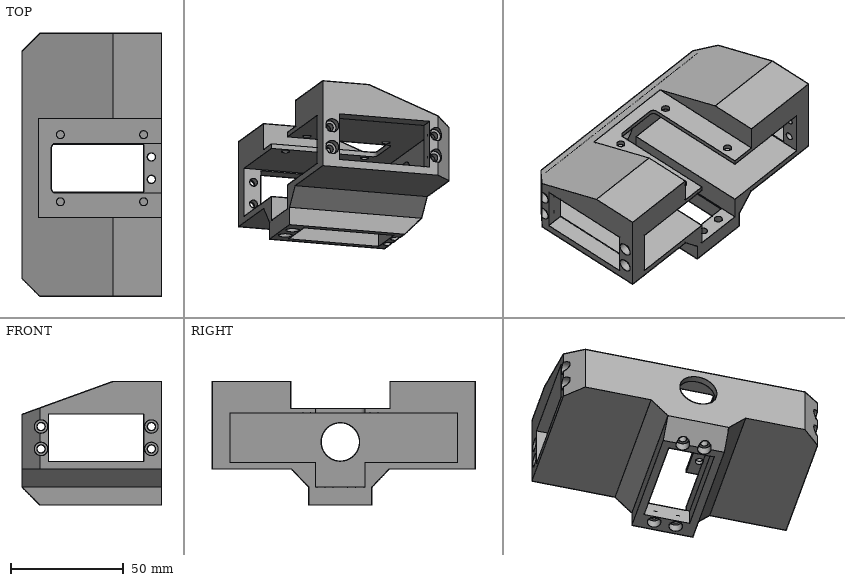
import cadquery as cq

length = 117.0
depth = 62.0
height = 55.0
body_bottom = 16.0
front_top = 40.4
slope_run = 40.4
chamfer = 8.0

center_y = -1.5
stem_width = 28.1
gusset_width = 43.5

front_wall = 3.0
end_wall = 8.0
tunnel_width = 22.0
arm_axis_z = 30.0
tunnel_top = arm_axis_z + tunnel_width / 2

window_length = 42.2
window_width = 21.0
pattern_x = 33.0
screw_pitch_x = 49.0
screw_pitch_across = 10.0
screw_diameter = 3.5
counterbore_diameter = 6.0
counterbore_depth = 4.0

recess_width = 44.0
recess_z = 43.0
slot_start = 13.1
slot_radius = 2.0
plate_hole_x = 35.6
plate_hole_pitch_x = 37.0
plate_hole_pitch_y = 29.8

bore_diameter = 17.0
bore_z = 28.1


def box(x_range, y_range, z_range):
    """Box between the given limits on each axis."""
    limits = (x_range, y_range, z_range)
    sizes = [high - low for low, high in limits]
    corner = tuple(low for low, high in limits)
    return cq.Workplane("XY").box(*sizes, centered=False).translate(corner)


def centered_range(center, width):
    """Limits of a span of the given width about a center."""
    return (center - width / 2, center + width / 2)


def make_body():
    """Long body with a sloped roof and chamfered front corners."""
    profile = [
        (0, body_bottom),
        (depth, body_bottom),
        (depth, height),
        (slope_run, height),
        (0, front_top),
    ]
    body = cq.Workplane("XZ").polyline(profile).close().extrude(length / 2, both=True)
    half = length / 2
    plan = [
        (0, chamfer - half),
        (chamfer, -half),
        (depth, -half),
        (depth, half),
        (chamfer, half),
        (0, half - chamfer),
    ]
    return body.intersect(cq.Workplane("XY").polyline(plan).close().extrude(height))


def make_stem():
    """Central stem, flared where it joins the body and chamfered at the front of its foot."""
    section = [
        (center_y - stem_width / 2, 0),
        (center_y + stem_width / 2, 0),
        (center_y + stem_width / 2, chamfer),
        (center_y + gusset_width / 2, body_bottom),
        (center_y - gusset_width / 2, body_bottom),
        (center_y - stem_width / 2, chamfer),
    ]
    stem = cq.Workplane("YZ").polyline(section).close().extrude(depth)
    corner = cq.Workplane("XZ").polyline([(0, 0), (chamfer, 0), (0, chamfer)]).close()
    return stem.cut(corner.extrude(length, both=True))


def make_interior():
    """T-shaped cavity running along the arms and down the stem."""
    x_range = (front_wall, depth)
    tunnel_y = centered_range(center_y, tunnel_width)
    arms = box(x_range, centered_range(0, length - 2 * end_wall), centered_range(arm_axis_z, tunnel_width))
    return arms.union(box(x_range, tunnel_y, (end_wall, tunnel_top)))


def mounting_cutter(plane):
    """Window and counterbored screw holes, cut inward from a plane centered on a mounting end."""
    cutter = plane.rect(window_length, window_width).extrude(-end_wall)
    screws = plane.rarray(screw_pitch_x, screw_pitch_across, 2, 2)
    cutter = cutter.union(screws.circle(screw_diameter / 2).extrude(-end_wall))
    return cutter.union(screws.circle(counterbore_diameter / 2).extrude(-counterbore_depth))


def make_mountings():
    """Cutters for both arm ends and the foot of the stem."""
    ends = [
        ((pattern_x, -length / 2, arm_axis_z), (0, -1, 0)),
        ((pattern_x, length / 2, arm_axis_z), (0, 1, 0)),
        ((pattern_x, center_y, 0), (0, 0, -1)),
    ]
    planes = [cq.Workplane(cq.Plane(origin, (1, 0, 0), normal)) for origin, normal in ends]
    return [mounting_cutter(plane) for plane in planes]


def make_roof_cutter():
    """Recess above the plate, the slot open toward +X, and the four plate holes."""
    recess = box((0, depth), centered_range(center_y, recess_width), (recess_z, height))
    slot = box((slot_start, depth), centered_range(center_y, tunnel_width), (tunnel_top, recess_z))
    slot = slot.edges("|Z and <X").fillet(slot_radius)
    holes = (
        cq.Workplane("XY", origin=(plate_hole_x, center_y, tunnel_top))
        .rarray(plate_hole_pitch_x, plate_hole_pitch_y, 2, 2)
        .circle(screw_diameter / 2)
        .extrude(recess_z - tunnel_top)
    )
    return recess.union(slot).union(holes)


def make_front_bore():
    """Round hole through the front wall."""
    return (
        cq.Workplane("YZ", origin=(0, center_y, bore_z))
        .circle(bore_diameter / 2)
        .extrude(front_wall)
    )


result = make_body().union(make_stem()).cut(make_interior())
for cutter in [*make_mountings(), make_roof_cutter(), make_front_bore()]:
    result = result.cut(cutter)